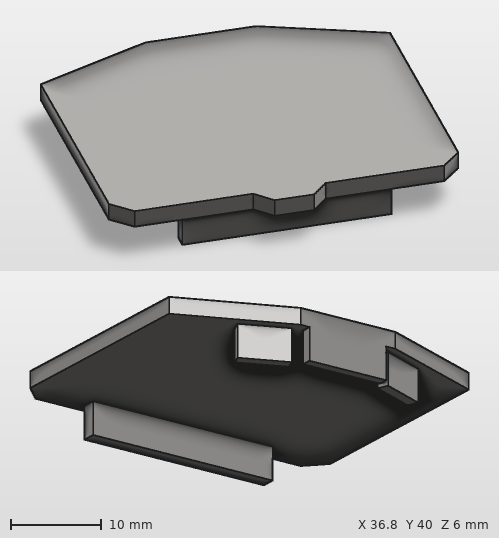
import cadquery as cq
import math

length_x = 36.75
width_y = 40.05
plate_thickness = 2.0
half_width = width_y / 2
taper_run = 5.5
left_edge_top = 6.25
left_edge_bottom = -6.4
right_edge_x = 34.75
corner_chamfer = 2.3
tab_base_half = 4.15
tab_tip_half = 2.3

leg_height = 4.0
center_leg_thickness = 1.25
center_leg_top = 5.05
center_leg_bottom = -5.2
slanted_leg_thickness = 1.4
upper_leg_start = (1.45, 6.4)
upper_leg_end = (3.72, 12.1)
lower_leg_start = (1.25, -6.33)
lower_leg_end = (3.52, -11.9)
right_leg_x = 31.75
right_leg_thickness = 1.72
right_leg_bottom = lower_leg_end[1]
right_leg_top = upper_leg_end[1]


def make_plate():
    outline = [
        (0, left_edge_bottom),
        (taper_run, -half_width),
        (right_edge_x - corner_chamfer, -half_width),
        (right_edge_x, -half_width + corner_chamfer),
        (right_edge_x, -tab_base_half),
        (length_x, -tab_tip_half),
        (length_x, tab_tip_half),
        (right_edge_x, tab_base_half),
        (right_edge_x, half_width - corner_chamfer),
        (right_edge_x - corner_chamfer, half_width),
        (taper_run, half_width),
        (0, left_edge_top),
    ]
    return cq.Workplane("XY").polyline(outline).close().extrude(plate_thickness)


def make_leg(outline):
    """Extrude a leg downward from the underside of the plate."""
    return cq.Workplane("XY").polyline(outline).close().extrude(-leg_height)


def make_straight_leg(x, thickness, bottom, top):
    return make_leg([(x, bottom), (x + thickness, bottom), (x + thickness, top), (x, top)])


def make_slanted_leg(start, end):
    """Rectangular leg whose outer face runs from start to end and thickens toward +X."""
    run_x = end[0] - start[0]
    run_y = end[1] - start[1]
    face_length = math.hypot(run_x, run_y)
    shift_x = slanted_leg_thickness * abs(run_y) / face_length
    shift_y = -math.copysign(slanted_leg_thickness * run_x / face_length, run_y)
    inner_start = (start[0] + shift_x, start[1] + shift_y)
    inner_end = (end[0] + shift_x, end[1] + shift_y)
    return make_leg([start, end, inner_end, inner_start])


legs = [
    make_straight_leg(0, center_leg_thickness, center_leg_bottom, center_leg_top),
    make_slanted_leg(upper_leg_start, upper_leg_end),
    make_slanted_leg(lower_leg_start, lower_leg_end),
    make_straight_leg(right_leg_x, right_leg_thickness, right_leg_bottom, right_leg_top),
]

result = make_plate()
for leg in legs:
    result = result.union(leg)